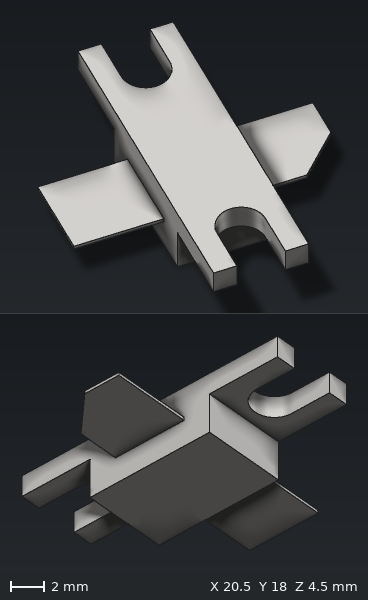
import cadquery as cq

flange_length = 20.5
flange_width = 6.23
flange_thickness = 1.6
slot_width = 3.15
slot_depth = 4.6

total_height = 4.5
body_length = 9.6
body_height = total_height - flange_thickness

lead_span = 18.0
lead_width = 5.5
lead_thickness = 0.25
lead_corner_cut = 2.77
flange_to_lead_gap = 0.7
lead_bottom = body_height - flange_to_lead_gap - lead_thickness


def block(length, width, height, bottom):
    """Box centred on the Z axis, standing on the given level."""
    return cq.Workplane("XY").workplane(offset=bottom).rect(length, width).extrude(height)


def end_slot(side):
    """Round-ended cutter for the mounting slot at one end (side is -1 or 1)."""
    radius = slot_width / 2
    end_x = side * flange_length / 2
    arc_start_x = end_x - side * (slot_depth - radius)
    arc_tip_x = end_x - side * slot_depth
    return (
        cq.Workplane("XY")
        .workplane(offset=body_height)
        .moveTo(end_x, radius)
        .lineTo(arc_start_x, radius)
        .threePointArc((arc_tip_x, 0), (arc_start_x, -radius))
        .lineTo(end_x, -radius)
        .close()
        .extrude(flange_thickness)
    )


def make_flange():
    """Plate with an open mounting slot at each end."""
    flange = block(flange_length, flange_width, flange_thickness, body_height)
    for side in (-1, 1):
        flange = flange.cut(end_slot(side))
    return flange


def make_leads():
    """Strip along Y with its +X, +Y corner cut off at 45 degrees."""
    leads = block(lead_width, lead_span, lead_thickness, lead_bottom)
    return leads.edges("|Z and >X and >Y").chamfer(lead_corner_cut)


body = block(body_length, flange_width, body_height, 0)

result = make_flange().union(body).union(make_leads())